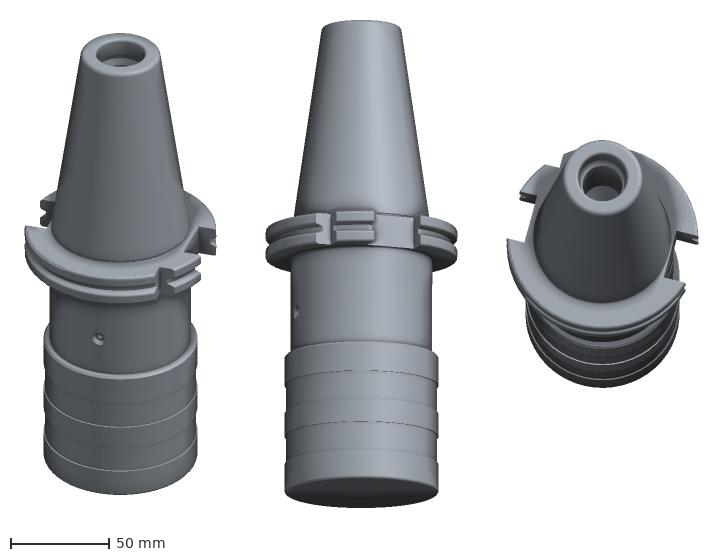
import cadquery as cq
import math

total_height = 241.8
flange_bottom = 120.9
flange_top = 136.8
gauge_height = 140.0
collar_top = 71.0

cut_clearance = 2.5

taper_slope = 7 / 48
gauge_radius = 69.9 / 2
tip_fillet = 2.5
taper_base = 138.8

flange_radius = 97.5 / 2
flange_fillet = 1.5
groove_floor_radius = 45.7
groove_floor_half_width = 1.2
groove_half_angle = 25
groove_edge_fillet = 1.2

upper_neck_radius = 34.8
upper_neck_chamfer = 0.36
lower_neck_radius = 35.8
lower_neck_height = 2.2
lower_neck_chamfer = 0.2
neck_fillet = 0.7

body_radius = 36.0
collar_radius = 39.2
recess_radius = 38.5
recess_spans = [(41.0, 55.8), (14.7, 29.5)]
collar_chamfer = 1.0
bottom_fillet = 1.5

slot_width = 25.6
left_slot_floor_x = 35.5
right_slot_floor_x = 37.7
tongue_width = 12.5
tongue_bottom = 108.0
tongue_fillet = 2.5

notch_x = 30.5
notch_y = 30.0

bore_radius = 12.3
bore_mouth_fillet = 1.5
relief_radius = 12.8
relief_top_depth = 9.5
relief_bottom_depth = 11.8
thread_radius = 10.2
thread_start_depth = 13.8
thread_depth = 48.4
drill_half_angle = 59

side_hole_height = 91.5
side_hole_mouth_radius = 3.6
side_hole_radius = 2.5
side_hole_depth = 2.5
side_hole_core_radius = 1.2
side_hole_core_depth = 4.8


def taper_radius(height):
    """Radius of the taper at a given height."""
    return gauge_radius + (gauge_height - height) * taper_slope


def revolve(points):
    """Solid of revolution about Z from (radius, height) points."""
    return cq.Workplane("XZ").polyline(points).close().revolve(360, (0, 0), (0, 1))


def taper():
    cone = revolve([
        (0, taper_base),
        (taper_radius(taper_base), taper_base),
        (taper_radius(total_height), total_height),
        (0, total_height),
    ])
    return cone.faces(">Z").edges().fillet(tip_fillet)


def neck(flange_face, end_height, end_radius, neck_radius, chamfer):
    """Neck from a flange face to end_height: rounded at the flange, chamfered out to end_radius."""
    away = math.copysign(1, end_height - flange_face)
    fillet_end = (neck_radius, flange_face + away * neck_fillet)
    arc_inset = neck_fillet * (1 - math.sqrt(0.5))
    arc_middle = (neck_radius + arc_inset, flange_face + away * arc_inset)
    profile = (
        cq.Workplane("XZ")
        .moveTo(0, flange_face)
        .lineTo(neck_radius + neck_fillet, flange_face)
        .threePointArc(arc_middle, fillet_end)
        .lineTo(neck_radius, end_height - away * chamfer)
        .lineTo(end_radius, end_height)
        .lineTo(0, end_height)
        .close()
    )
    return profile.revolve(360, (0, 0), (0, 1))


def necks():
    upper = neck(flange_top, taper_base, taper_radius(taper_base), upper_neck_radius, upper_neck_chamfer)
    lower = neck(
        flange_bottom, flange_bottom - lower_neck_height, body_radius, lower_neck_radius, lower_neck_chamfer
    )
    return upper.union(lower)


def flange():
    middle = (flange_bottom + flange_top) / 2
    rise = (flange_radius - groove_floor_radius) * math.tan(math.radians(groove_half_angle))
    mouth_half_width = groove_floor_half_width + rise
    disc = revolve([
        (0, flange_bottom),
        (flange_radius, flange_bottom),
        (flange_radius, middle - mouth_half_width),
        (groove_floor_radius, middle - groove_floor_half_width),
        (groove_floor_radius, middle + groove_floor_half_width),
        (flange_radius, middle + mouth_half_width),
        (flange_radius, flange_top),
        (0, flange_top),
    ])
    disc = disc.faces("<Z or >Z").edges().fillet(flange_fillet)

    def on_groove_mouth(edge):
        height_from_middle = abs(edge.Center().z - middle)
        return math.isclose(height_from_middle, mouth_half_width, abs_tol=0.002)

    return disc.edges("%CIRCLE").filter(on_groove_mouth).fillet(groove_edge_fillet)


def body():
    shank_height = flange_bottom - lower_neck_height - collar_top
    collar = cq.Workplane("XY").circle(collar_radius).extrude(collar_top)
    collar = collar.faces(">Z").edges().chamfer(collar_chamfer)
    collar = collar.faces("<Z").edges().fillet(bottom_fillet)
    for bottom, top in recess_spans:
        ring = cq.Workplane("XY").workplane(offset=bottom)
        ring = ring.circle(collar_radius + cut_clearance).circle(recess_radius).extrude(top - bottom)
        collar = collar.cut(ring)
    shank = cq.Workplane("XY").workplane(offset=collar_top).circle(body_radius).extrude(shank_height)
    return collar.union(shank)


def flange_cutter(x_min, x_max, y_min, y_max):
    """Block running through the full height of the flange."""
    size = (x_max - x_min, y_max - y_min, flange_top - flange_bottom)
    return cq.Workplane("XY").box(*size, centered=False).translate((x_min, y_min, flange_bottom))


def drive_slots():
    reach = flange_radius + cut_clearance
    half = slot_width / 2
    left = flange_cutter(-reach, -left_slot_floor_x, -half, half)
    right = flange_cutter(right_slot_floor_x, reach, -half, half)
    tongue = cq.Workplane("XY").box(
        reach - left_slot_floor_x, tongue_width, flange_top - tongue_bottom, centered=False
    ).translate((-reach, -tongue_width / 2, tongue_bottom))
    tongue = tongue.faces("<Z").edges("|X").fillet(tongue_fillet)
    return left.union(right).union(tongue)


def corner_notch():
    reach = flange_radius + cut_clearance
    return flange_cutter(notch_x, reach, -reach, -notch_y)


def tip_bore():
    drill_tip = thread_radius / math.tan(math.radians(drill_half_angle))
    relief_step = relief_radius - bore_radius
    arc_inset = bore_mouth_fillet * (1 - math.sqrt(0.5))
    profile = (
        cq.Workplane("XZ", origin=(0, 0, total_height))
        .lineTo(bore_radius + bore_mouth_fillet, 0)
        .threePointArc((bore_radius + arc_inset, -arc_inset), (bore_radius, -bore_mouth_fillet))
        .lineTo(bore_radius, -relief_top_depth)
        .lineTo(relief_radius, -relief_top_depth - relief_step)
        .lineTo(relief_radius, -relief_bottom_depth + relief_step)
        .lineTo(bore_radius, -relief_bottom_depth)
        .lineTo(thread_radius, -thread_start_depth)
        .lineTo(thread_radius, -thread_depth)
        .lineTo(0, -thread_depth - drill_tip)
        .close()
    )
    return profile.revolve(360, (0, 0), (0, 1))


def side_hole():
    chamfer = side_hole_mouth_radius - side_hole_radius
    face = cq.Workplane("XZ", origin=(0, -body_radius, side_hole_height))
    mouth = face.circle(side_hole_mouth_radius).extrude(-chamfer, taper=45)
    hole = face.circle(side_hole_radius).extrude(-side_hole_depth)
    core = face.circle(side_hole_core_radius).extrude(-side_hole_core_depth)
    return mouth.union(hole).union(core)


result = taper().union(necks()).union(flange()).union(body())
result = result.cut(drive_slots()).cut(corner_notch()).cut(tip_bore()).cut(side_hole())